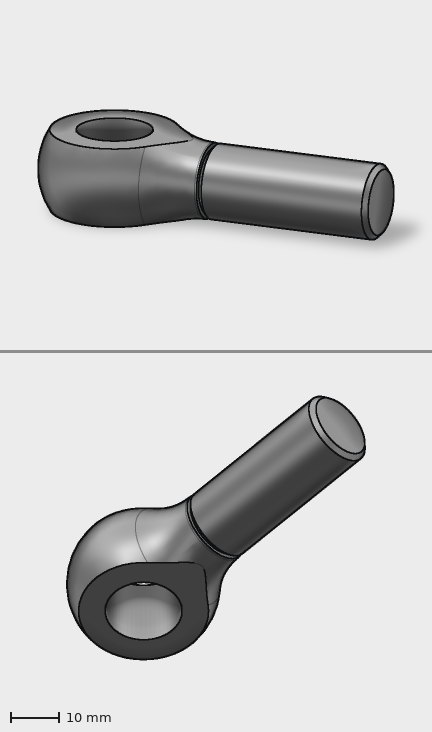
import cadquery as cq
import math

overall_length = 75.95
ball_radius = 15.95
eye_thickness = 17.0
bore_diameter = 15.95
shank_radius = 8.0
shank_chamfer = 1.1
neck_radius = 8.05
neck_blend_radius = 16.7
neck_end = 21.8

shank_end = overall_length - ball_radius

blend_center_y = neck_radius + neck_blend_radius
blend_center_distance = ball_radius + neck_blend_radius
blend_center_x = math.sqrt(blend_center_distance**2 - blend_center_y**2)
ball_tangent_x = blend_center_x * ball_radius / blend_center_distance
ball_tangent_y = blend_center_y * ball_radius / blend_center_distance

def arc_middle(center_x, center_y, radius, angle):
    """Return the point at an angle (radians) on a circle."""
    return (center_x + radius * math.cos(angle), center_y + radius * math.sin(angle))

def make_body():
    """Revolve the ball, neck, V groove and shank about the X axis."""
    tangent_angle = math.atan2(ball_tangent_y, ball_tangent_x)
    ball_middle = arc_middle(0, 0, ball_radius, (math.pi + tangent_angle) / 2)
    blend_angle = (tangent_angle + 2.5 * math.pi) / 2
    blend_middle = arc_middle(blend_center_x, blend_center_y, neck_blend_radius, blend_angle)
    profile = (
        cq.Workplane("XY")
        .moveTo(-ball_radius, 0)
        .threePointArc(ball_middle, (ball_tangent_x, ball_tangent_y))
        .threePointArc(blend_middle, (blend_center_x, neck_radius))
        .lineTo(neck_end, shank_radius)
        .lineTo(neck_end, shank_radius - shank_chamfer)
        .lineTo(neck_end + shank_chamfer, shank_radius)
        .lineTo(shank_end - shank_chamfer, shank_radius)
        .lineTo(shank_end, shank_radius - shank_chamfer)
        .lineTo(shank_end, 0)
        .close()
    )
    return profile.revolve(360, (0, 0, 0), (1, 0, 0))

def make_face_limits():
    """Slab that trims the ball and neck to the two flat eye faces."""
    return cq.Workplane("XY").box(2 * overall_length, 2 * overall_length, eye_thickness)

def make_bore():
    """Cylinder through the eye along Z."""
    return cq.Workplane("XY").circle(bore_diameter / 2).extrude(eye_thickness / 2, both=True)

result = make_body().intersect(make_face_limits()).cut(make_bore())